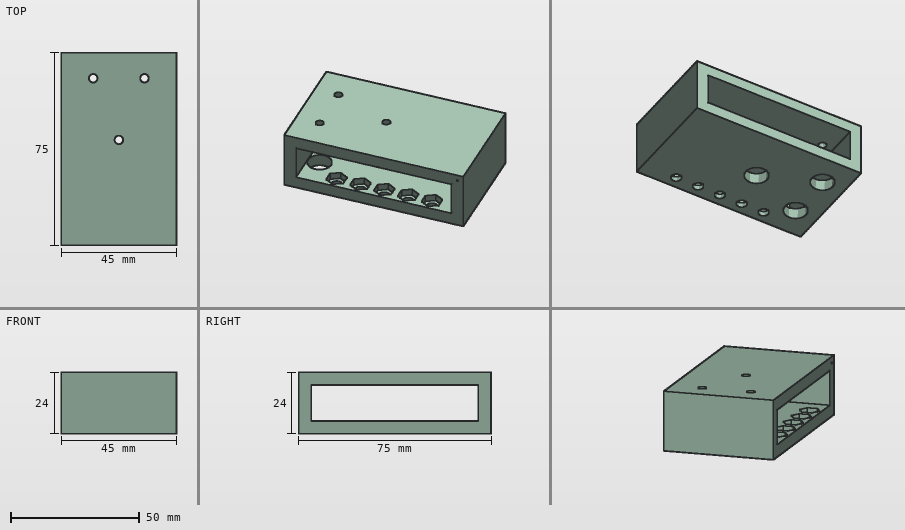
import cadquery as cq

width = 45.0
length = 75.0
height = 24.0
wall = 5.0
bottom = -height / 2
top = height / 2
floor = bottom + wall

screw_diameter = 3.2
access_diameter = 9.6
screw_half_spacing = 10.0
screw_end_distance = 10.0
screw_row_spacing = 24.0
rear_screw_y = length / 2 - screw_end_distance
screw_points = [
    (-screw_half_spacing, rear_screw_y),
    (screw_half_spacing, rear_screw_y),
    (0, rear_screw_y - screw_row_spacing),
]

nut_count = 5
nut_pitch = 10.0
nut_edge_distance = 5.0
first_nut_y = length / 2 - 20.0
nut_corner_diameter = 8.25
nut_depth = 2.8
bolt_diameter = 4.2
nut_points = [
    (-width / 2 + nut_edge_distance, first_nut_y - i * nut_pitch)
    for i in range(nut_count)
]

pin_diameter = 0.5
pin_edge_distance = 2.55
pin_depth = 10.0


def cylinders(points, diameter, start, end):
    """Vertical cylinders at the given points, from height start to end."""
    plane = cq.Workplane("XY").workplane(offset=start)
    return plane.pushPoints(points).circle(diameter / 2).extrude(end - start)


def nut_pockets():
    """Hexagonal pockets sunk into the floor, with corners pointing along X."""
    plane = cq.Workplane("XY").workplane(offset=floor - nut_depth)
    return plane.pushPoints(nut_points).polygon(6, nut_corner_diameter).extrude(nut_depth)


def pin_hole():
    """Blind hole running inward from the -X face."""
    plane = cq.Workplane("YZ").workplane(offset=-width / 2)
    centre = plane.center(-length / 2 + pin_edge_distance, top - pin_edge_distance)
    return centre.circle(pin_diameter / 2).extrude(pin_depth)


block = cq.Workplane("XY").box(width, length, height)
window = cq.Workplane("XY").box(width, length - 2 * wall, height - 2 * wall)

result = (
    block.cut(window)
    .cut(cylinders(screw_points, screw_diameter, 0, top))
    .cut(cylinders(screw_points, access_diameter, bottom, 0))
    .cut(cylinders(nut_points, bolt_diameter, bottom, floor))
    .cut(nut_pockets())
    .cut(pin_hole())
)